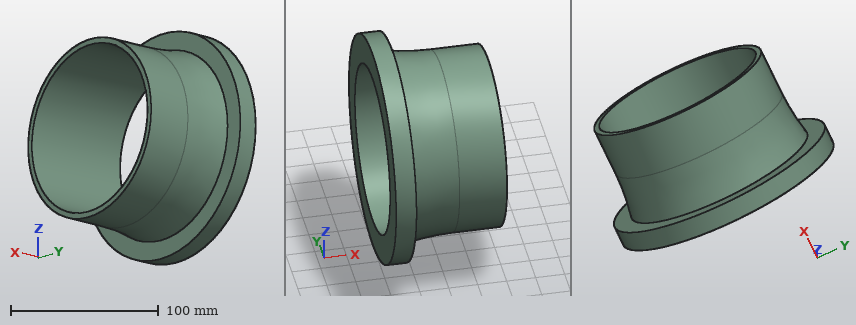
import cadquery as cq

total_length = 80.0
collar_thickness = 14.0
pipe_end_length = 33.0

collar_radius = 158.0 / 2
neck_root_radius = 132.0 / 2
pipe_radius = 125.0 / 2
bore_radius = 117.2 / 2

neck_end = total_length - pipe_end_length


def make_stub_flange():
    """Revolve the half section, with X along the axis and Y as the radius."""
    half_section = (
        cq.Workplane("XY")
        .moveTo(total_length, bore_radius)
        .lineTo(total_length, pipe_radius)
        .lineTo(neck_end, pipe_radius)
        .tangentArcPoint((collar_thickness, neck_root_radius), relative=False)
        .lineTo(collar_thickness, collar_radius)
        .lineTo(0, collar_radius)
        .lineTo(0, bore_radius)
        .close()
    )
    return half_section.revolve(360, (0, 0, 0), (1, 0, 0))


result = make_stub_flange()